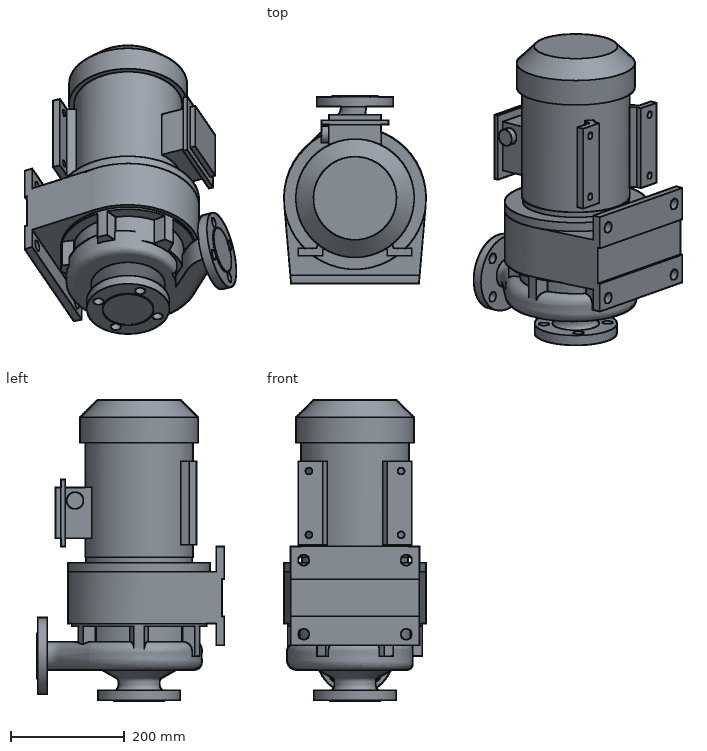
import cadquery as cq
import math


seat_z = 228.0
motor_flange_radius = 125.0
motor_flange_top = 244.0
neck_radius = 93.5
neck_top = 253.5
motor_radius = 95.0
cap_radius = 104.0
cap_bottom = 454.0
cap_shoulder = 499.0
cap_top_radius = 73.0
motor_top = 529.6

foot_half_span = 100.0
foot_inner_x = 57.0
foot_bottom_y = -101.3
foot_thickness = 13.3
foot_center_z = 348.6
foot_length = 147.0
foot_hole_diameter = 12.0
foot_hole_x = 81.0
foot_hole_spacing = 112.0
web_inner_start_y = -92.0
web_inner_top = (49.0, -82.0)
web_outer_top = (62.0, -73.0)
web_outer_start_x = 68.0
web_root = (45.0, -70.0)

box_width = 92.0
box_height = 89.5
box_top_y = 146.8
box_inner_y = 70.0
box_center_z = 331.0
lid_size = 118.0
lid_bottom_y = 129.3
lid_top_y = 137.2
gland_radius = 14.7
gland_y = 112.3
gland_z = 352.8

housing_radius = motor_flange_radius
housing_bottom = 136.5
ring_radius = 118.5
ring_bottom = 131.7

plate_face_y = -150.0
plate_back_y = -135.2
plate_half_width = 112.5
plate_bottom = 98.5
plate_top = 272.2
recess_bottom = 149.5
recess_top = 214.7
recess_depth = 4.3
plate_hole_diameter = 19.0
plate_hole_x = 90.0
plate_hole_heights = (118.0, 248.0)

leg_count = 6
leg_bottom = 79.5
leg_tip_half_width = 9.0
leg_root_half_width = 16.5
drum_radius = 98.0
leg_embed = 8.0

volute_center_z = 80.0
volute_height = 50.0
volute_start_radius = 92.7
volute_growth = 0.1
corner_start_radius = 8.3
corner_growth = 0.035
volute_end_angle = 315
section_step = 45
volute_inner_radius = 60.0
core_radius = 84.0

outlet_corner_radius = 24.9
outlet_inner_offset = 19.6
discharge_flange_radius = 67.5
discharge_flange_back_y = 161.0
discharge_flange_front_y = 178.0
discharge_face_y = 180.0
discharge_face_radius = 40.0
discharge_bolt_circle = 50.0

suction_face_radius = 44.6
suction_flange_bottom = 1.8
suction_flange_radius = 72.5
suction_flange_top = 20.0
suction_bolt_circle = 56.0
nozzle_radius = 36.5
nozzle_bottom = 28.5
nozzle_top = 34.7
nozzle_flare = 4.5
flare_bulge = 0.25
cone_bottom = (42.0, 42.0)
cone_top_radius = 65.0

flange_hole_diameter = 18.0
flange_hole_count = 4

volute_bottom = volute_center_z - volute_height / 2
flow_center = cq.Vector(0, 0, volute_center_z)


def block(x0, x1, y0, y1, z0, z1):
    """Box between two opposite corners."""
    return cq.Workplane("XY").box(x1 - x0, y1 - y0, z1 - z0, centered=False).translate((x0, y0, z0))


def disc(radius, z0, z1):
    """Cylinder on the Z axis."""
    return cq.Workplane("XY").workplane(offset=z0).circle(radius).extrude(z1 - z0)


def cylinder_along_y(x, z, radius, y0, y1):
    """Cylinder parallel to the Y axis."""
    return cq.Workplane(cq.Solid.makeCylinder(radius, y1 - y0, cq.Vector(x, y0, z), cq.Vector(0, 1, 0)))


def bolt_pattern(bolt_circle):
    """Flange bolt hole centres, straddling the main axes."""
    pitch = 2 * math.pi / flange_hole_count
    angles = [(i + 0.5) * pitch for i in range(flange_hole_count)]
    return [(bolt_circle * math.cos(a), bolt_circle * math.sin(a)) for a in angles]


def make_motor_shell():
    profile = [
        (0, seat_z),
        (-motor_flange_radius, seat_z),
        (-motor_flange_radius, motor_flange_top),
        (-neck_radius, motor_flange_top),
        (-neck_radius, neck_top),
        (-motor_radius, neck_top),
        (-motor_radius, cap_bottom),
        (-cap_radius, cap_bottom),
        (-cap_radius, cap_shoulder),
        (-cap_top_radius, motor_top),
        (0, motor_top),
    ]
    return cq.Workplane("YZ").polyline(profile).close().revolve(360, (0, 0), (0, 1))


def make_foot():
    """Foot on the +X side: a flat plate on a web that slopes up to the motor."""
    foot_top_y = foot_bottom_y + foot_thickness
    foot_start_z = foot_center_z - foot_length / 2
    outline = [
        (foot_inner_x, foot_bottom_y),
        (foot_half_span, foot_bottom_y),
        (foot_half_span, foot_top_y),
        (web_outer_start_x, foot_top_y),
        web_outer_top,
        web_root,
        web_inner_top,
        (foot_inner_x, web_inner_start_y),
    ]
    foot = cq.Workplane("XY").workplane(offset=foot_start_z).polyline(outline).close().extrude(foot_length)
    for side in (-1, 1):
        hole_z = foot_center_z + side * foot_hole_spacing / 2
        foot = foot.cut(
            cylinder_along_y(foot_hole_x, hole_z, foot_hole_diameter / 2, foot_bottom_y, foot_top_y)
        )
    return foot


def make_terminal_box():
    half_width = box_width / 2
    half_height = box_height / 2
    half_lid = lid_size / 2
    box = block(
        -half_width, half_width, box_inner_y, box_top_y,
        box_center_z - half_height, box_center_z + half_height,
    )
    lid = block(
        -half_lid, half_lid, lid_bottom_y, lid_top_y,
        box_center_z - half_lid, box_center_z + half_lid,
    )
    gland = cq.Workplane("YZ").center(gland_y, gland_z).circle(gland_radius).extrude(-half_lid)
    return box.union(lid).union(gland)


def make_motor():
    foot = make_foot()
    motor = make_motor_shell().union(foot).union(foot.mirror("YZ"))
    return motor.union(make_terminal_box())


def make_housing():
    """Round housing whose tangent sides run to the mounting plate."""
    corner_distance = math.hypot(plate_half_width, plate_face_y)
    tangent_angle = math.atan2(plate_face_y, plate_half_width) + math.acos(housing_radius / corner_distance)
    tangent_x = housing_radius * math.cos(tangent_angle)
    tangent_y = housing_radius * math.sin(tangent_angle)
    sides = [
        (-tangent_x, tangent_y),
        (tangent_x, tangent_y),
        (plate_half_width, plate_face_y),
        (-plate_half_width, plate_face_y),
    ]

    def tapered_block(z0, z1):
        return cq.Workplane("XY").workplane(offset=z0).polyline(sides).close().extrude(z1 - z0)

    plate_zone = block(
        -housing_radius, housing_radius, plate_face_y, plate_back_y, plate_bottom, plate_top
    )
    plate = tapered_block(plate_bottom, plate_top).intersect(plate_zone)
    housing = disc(housing_radius, housing_bottom, seat_z)
    housing = housing.union(tapered_block(housing_bottom, seat_z)).union(plate)
    recess = block(
        -housing_radius, housing_radius, plate_face_y, plate_face_y + recess_depth, recess_bottom, recess_top
    )
    housing = housing.cut(recess)
    for x in (-plate_hole_x, plate_hole_x):
        for z in plate_hole_heights:
            housing = housing.cut(
                cylinder_along_y(x, z, plate_hole_diameter / 2, plate_face_y, plate_back_y)
            )
    return housing.union(disc(ring_radius, ring_bottom, housing_bottom))


def make_legs():
    """Wedge legs, wider toward the drum, with tips on the ring's outer surface."""
    root = drum_radius - leg_embed
    outline = [
        (root, -leg_root_half_width),
        (drum_radius, -leg_root_half_width),
        (ring_radius, -leg_tip_half_width),
        (ring_radius, leg_tip_half_width),
        (drum_radius, leg_root_half_width),
        (root, leg_root_half_width),
    ]
    leg = cq.Workplane("XY").workplane(offset=leg_bottom).polyline(outline).close()
    leg = leg.extrude(ring_bottom - leg_bottom)
    legs = leg
    for i in range(1, leg_count):
        legs = legs.union(leg.rotate((0, 0, 0), (0, 0, 1), i * 360 / leg_count))
    return legs.intersect(disc(ring_radius, leg_bottom, ring_bottom))


def make_core():
    """Suction flange, nozzle, cone and drum turned about the Z axis."""
    profile = (
        cq.Workplane("YZ")
        .moveTo(0, 0)
        .lineTo(-suction_face_radius, 0)
        .lineTo(-suction_face_radius, suction_flange_bottom)
        .lineTo(-suction_flange_radius, suction_flange_bottom)
        .lineTo(-suction_flange_radius, suction_flange_top)
        .lineTo(-(nozzle_radius + nozzle_flare), suction_flange_top)
        .threePointArc(
            (-(nozzle_radius + nozzle_flare * flare_bulge), (suction_flange_top + nozzle_bottom) / 2),
            (-nozzle_radius, nozzle_bottom),
        )
        .lineTo(-nozzle_radius, nozzle_top)
        .tangentArcPoint((-cone_bottom[0], cone_bottom[1]), relative=False)
        .lineTo(-cone_top_radius, volute_bottom)
        .lineTo(-core_radius, volute_bottom)
        .lineTo(-core_radius, volute_center_z)
        .lineTo(-drum_radius, volute_center_z)
        .lineTo(-drum_radius, ring_bottom)
        .lineTo(0, ring_bottom)
        .close()
    )
    core = profile.revolve(360, (0, 0), (0, 1))
    holes = (
        cq.Workplane("XY")
        .pushPoints(bolt_pattern(suction_bolt_circle))
        .circle(flange_hole_diameter / 2)
        .extrude(suction_flange_top)
    )
    return core.cut(holes)


def flow_section(origin, outward, inner, outer, corner):
    """Wire across the flow: square on the inner side, rounded corners on the outer side.

    inner and outer are distances from the origin along the horizontal outward direction.
    """
    plane = cq.Plane(origin=origin, xDir=outward, normal=outward.cross(cq.Vector(0, 0, 1)))
    half = volute_height / 2
    bulge = corner * math.sqrt(0.5)
    bend = outer - corner
    flat = half - corner
    section = (
        cq.Workplane(plane)
        .moveTo(inner, -half)
        .lineTo(bend, -half)
        .threePointArc((bend + bulge, -flat - bulge), (outer, -flat))
        .lineTo(outer, flat)
        .threePointArc((bend + bulge, flat + bulge), (bend, half))
        .lineTo(inner, half)
        .close()
    )
    return section.val()


def spiral_radius(angle):
    return volute_start_radius + volute_growth * angle


def spiral_corner(angle):
    return corner_start_radius + corner_growth * angle


def clockwise_direction(angle):
    """Horizontal unit vector turned clockwise from +Y by an angle in degrees."""
    return cq.Vector(math.sin(math.radians(angle)), math.cos(math.radians(angle)), 0)


def make_spiral():
    """Spiral casing that grows clockwise from +Y."""
    sections = [
        flow_section(
            flow_center, clockwise_direction(a), volute_inner_radius, spiral_radius(a), spiral_corner(a)
        )
        for a in range(0, volute_end_angle + 1, section_step)
    ]
    return cq.Workplane(cq.Solid.makeLoft(sections))


def make_outlet():
    """Duct that leaves the spiral on a straight tangent, then turns through an elbow to face +Y."""
    outward = clockwise_direction(volute_end_angle)
    end_radius = spiral_radius(volute_end_angle)
    spiral_end = flow_center + outward * (end_radius - outlet_corner_radius)
    along = clockwise_direction(volute_end_angle + 90)
    turn = volute_end_angle + 90 - 360

    tangent_line_y = spiral_end.y - spiral_end.x * along.y / along.x
    elbow_radius = (discharge_flange_back_y - tangent_line_y) / math.tan(math.radians(turn) / 2)
    elbow_axis = cq.Vector(-elbow_radius, discharge_flange_back_y, volute_center_z)
    elbow_start = elbow_axis - outward * elbow_radius

    inner = end_radius - outlet_corner_radius - outlet_inner_offset
    start = flow_section(flow_center, outward, inner, end_radius, spiral_corner(volute_end_angle))
    bend = flow_section(
        elbow_start, outward, -outlet_inner_offset, outlet_corner_radius, outlet_corner_radius
    )
    straight = cq.Solid.makeLoft([start, bend], True)
    elbow = cq.Solid.revolve(bend, [], turn, elbow_axis, elbow_axis + cq.Vector(0, 0, 1))
    return cq.Workplane(straight).union(cq.Workplane(elbow))


def make_discharge_flange():
    flange = cylinder_along_y(
        0, volute_center_z, discharge_flange_radius, discharge_flange_back_y, discharge_flange_front_y
    )
    face = cylinder_along_y(
        0, volute_center_z, discharge_face_radius, discharge_flange_front_y, discharge_face_y
    )
    flange = flange.union(face)
    for x, z in bolt_pattern(discharge_bolt_circle):
        flange = flange.cut(
            cylinder_along_y(
                x, volute_center_z + z, flange_hole_diameter / 2,
                discharge_flange_back_y, discharge_flange_front_y,
            )
        )
    return flange


def make_pump():
    pump = make_housing().union(make_core()).union(make_legs())
    pump = pump.union(make_spiral()).union(make_outlet())
    return pump.union(make_discharge_flange())


motor = make_motor()
pump = make_pump()
result = cq.Compound.makeCompound([*motor.solids().vals(), *pump.solids().vals()])